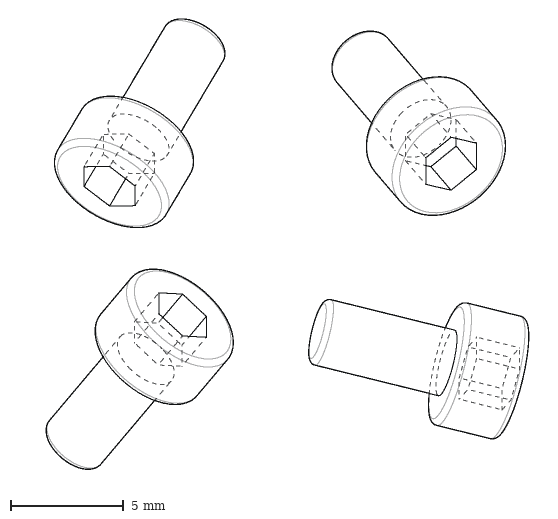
import cadquery as cq
import math

total_length = 9.0
head_diameter = 5.6
head_height = 3.0
shank_diameter = 3.0
edge_radius = 0.25
socket_across_flats = 2.5
socket_depth = 2.0


def cylinder_along_y(diameter, start, length):
    """Solid cylinder on the screw axis, growing toward +Y from start."""
    plane = cq.Plane(origin=(0, start, 0), xDir=(1, 0, 0), normal=(0, 1, 0))
    return cq.Workplane(plane).circle(diameter / 2).extrude(length)


def hex_socket():
    """Hexagonal prism with corners at +Z and -Z, and flats facing X."""
    across_corners = socket_across_flats / math.cos(math.pi / 6)
    plane = cq.Plane(origin=(0, 0, 0), xDir=(0, 0, 1), normal=(0, 1, 0))
    return cq.Workplane(plane).polygon(6, across_corners).extrude(socket_depth)


head = cylinder_along_y(head_diameter, 0, head_height)
head = head.edges("%CIRCLE").fillet(edge_radius)

shank = cylinder_along_y(shank_diameter, head_height, total_length - head_height)
shank = shank.faces(">Y").edges().fillet(edge_radius)

result = head.union(shank).cut(hex_socket())